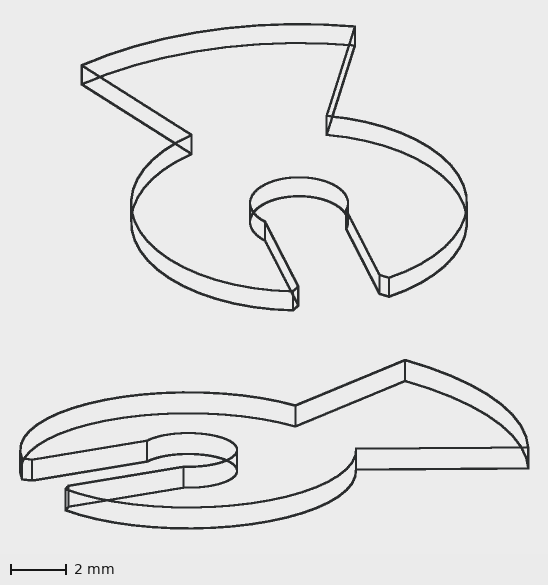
import cadquery as cq
import math

thickness = 0.8
disc_radius = 6.0
bore_radius = 1.75
slot_width = 3.0
mouth_half_width = 1.78
mouth_depth = 0.27
tail_radius = 12.15
tail_half_angle = math.radians(24.6)


def polar(radius, angle):
    """Point at a radius and an angle measured from the -X axis."""
    return (-radius * math.cos(angle), radius * math.sin(angle))


def make_disc():
    return cq.Workplane("XY").circle(disc_radius).extrude(thickness)


def make_tail():
    """Fan-shaped tab whose straight sides are radii of the disc."""
    return (
        cq.Workplane("XY")
        .moveTo(0, 0)
        .lineTo(*polar(tail_radius, tail_half_angle))
        .threePointArc(polar(tail_radius, 0), polar(tail_radius, -tail_half_angle))
        .close()
        .extrude(thickness)
    )


def make_bore():
    return cq.Workplane("XY").circle(bore_radius).extrude(thickness)


def make_slot():
    """Slot from the bore out through the +X rim, widening at its mouth."""
    half_width = slot_width / 2
    rim_x = math.sqrt(disc_radius**2 - mouth_half_width**2)
    bevel_start_x = rim_x - mouth_depth
    return (
        cq.Workplane("XY")
        .moveTo(0, -half_width)
        .lineTo(bevel_start_x, -half_width)
        .lineTo(rim_x, -mouth_half_width)
        .lineTo(disc_radius, -mouth_half_width)
        .lineTo(disc_radius, mouth_half_width)
        .lineTo(rim_x, mouth_half_width)
        .lineTo(bevel_start_x, half_width)
        .lineTo(0, half_width)
        .close()
        .extrude(thickness)
    )


result = make_disc().union(make_tail()).cut(make_bore()).cut(make_slot())